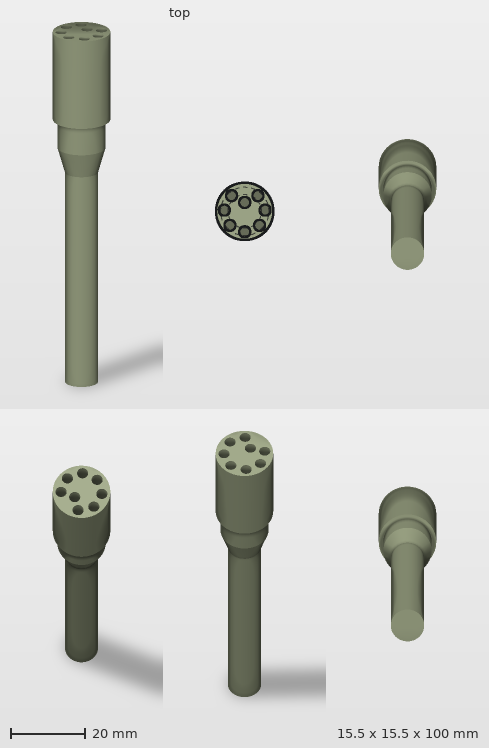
import cadquery as cq
import math

total_length = 100.0

cable_diameter = 9.0
cable_length = 60.0
taper_length = 7.0
neck_diameter = 13.0
body_diameter = 15.5
body_length = 25.0
neck_length = total_length - cable_length - taper_length - body_length

hole_diameter = 3.0
hole_depth = 10.0
ring_radius = 5.5
ring_hole_count = 7
ring_gap_angle = 80.0
ring_pitch_angle = (360.0 - ring_gap_angle) / (ring_hole_count - 1)
ring_start_angle = 90.0 + ring_gap_angle / 2
inner_hole_offset = 2.4


def make_connector_body():
    """Cable, taper, neck and body as coaxial sections stacked along Z."""
    cable = cq.Workplane("XY").circle(cable_diameter / 2).extrude(cable_length)
    taper = (
        cable.faces(">Z")
        .workplane()
        .circle(cable_diameter / 2)
        .workplane(offset=taper_length)
        .circle(neck_diameter / 2)
        .loft(combine=True)
    )
    neck = taper.faces(">Z").workplane().circle(neck_diameter / 2).extrude(neck_length)
    return neck.faces(">Z").workplane().circle(body_diameter / 2).extrude(body_length)


def contact_hole_centers():
    """XY centers of the ring holes followed by the inner hole."""
    centers = []
    for index in range(ring_hole_count):
        angle = math.radians(ring_start_angle + index * ring_pitch_angle)
        centers.append((ring_radius * math.cos(angle), ring_radius * math.sin(angle)))
    centers.append((0, inner_hole_offset))
    return centers


contact_holes = (
    cq.Workplane("XY", origin=(0, 0, total_length))
    .pushPoints(contact_hole_centers())
    .circle(hole_diameter / 2)
    .extrude(-hole_depth)
)

result = make_connector_body().cut(contact_holes)